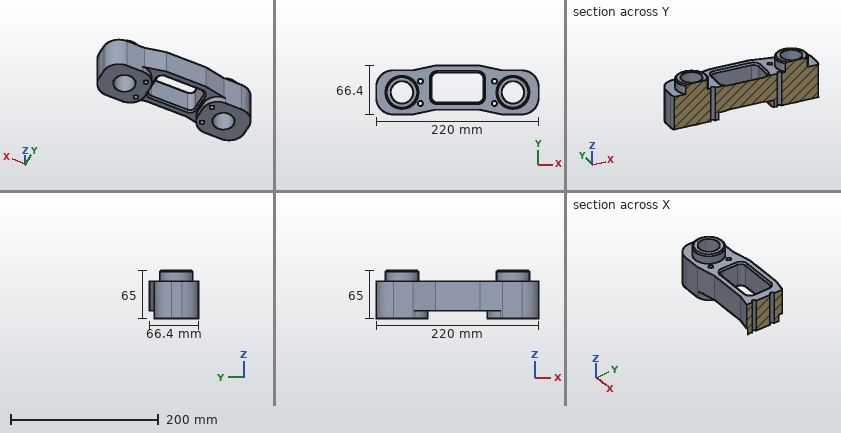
import cadquery as cq
import math

overall_length = 220.0
overall_width = 66.44
overall_height = 65.0

end_width = 60.0
corner_radius = 23.0
body_top = 50.5
bridge_offset = overall_width - end_width
bridge_half_length = 30.0
taper_angle = 12.0
taper_length = bridge_offset / math.tan(math.radians(taper_angle))

foot_height = 10.5
foot_length = 70.0
foot_inner_radius = 22.5

boss_spacing = 150.0
boss_diameter = 45.0
boss_chamfer = 2.0
bore_diameter = 30.0

bolt_hole_diameter = 6.5
bolt_spacing_x = 100.0
bolt_spacing_y = 30.0

window_length = 70.0
window_width = 40.0
window_corner_radius = 7.7
window_chamfer = 2.5
window_flare_angle = 45.0

half_length = overall_length / 2
half_width = end_width / 2
taper_end = bridge_half_length + taper_length
foot_inner = half_length - foot_length


def make_body():
    """Offset bridge with tapered sides between two end blocks with rounded corners."""
    lower = [
        (-half_length, -half_width),
        (-taper_end, -half_width),
        (-bridge_half_length, -half_width + bridge_offset),
        (bridge_half_length, -half_width + bridge_offset),
        (taper_end, -half_width),
        (half_length, -half_width),
    ]
    upper = [(x, y + end_width) for x, y in reversed(lower)]
    body = (
        cq.Workplane("XY", origin=(0, 0, foot_height))
        .polyline(lower + upper)
        .close()
        .extrude(body_top - foot_height)
    )
    return body.edges("|Z and (<X or >X)").fillet(corner_radius)


def make_foot():
    """Left foot; its -Y side follows the body taper before rounding into the inner face."""
    taper_rise = (taper_end - foot_inner) * math.tan(math.radians(taper_angle))
    outline = [
        (-half_length, -half_width),
        (-taper_end, -half_width),
        (-foot_inner, -half_width + taper_rise),
        (-foot_inner, half_width),
        (-half_length, half_width),
    ]
    foot = cq.Workplane("XY").polyline(outline).close().extrude(foot_height)
    foot = foot.edges("|Z and <X").fillet(corner_radius)
    return foot.edges("|Z and >X").fillet(foot_inner_radius)


def make_bosses():
    """Round bosses with a chamfered rim on top of both end blocks."""
    return (
        cq.Workplane("XY", origin=(0, 0, body_top))
        .rarray(boss_spacing, 1, 2, 1)
        .circle(boss_diameter / 2)
        .extrude(overall_height - body_top)
        .faces(">Z")
        .chamfer(boss_chamfer)
    )


def make_round_holes():
    """Cutters for the boss bores and the bolt holes, running the full height."""
    bores = (
        cq.Workplane("XY")
        .rarray(boss_spacing, 1, 2, 1)
        .circle(bore_diameter / 2)
        .extrude(overall_height)
    )
    bolt_holes = (
        cq.Workplane("XY")
        .rarray(bolt_spacing_x, bolt_spacing_y, 2, 2)
        .circle(bolt_hole_diameter / 2)
        .extrude(overall_height)
    )
    return bores.union(bolt_holes)


def make_window():
    """Cutter for the rounded window, flared outward at the top and bottom of the bridge."""
    outline = (
        cq.Sketch()
        .rect(window_length, window_width)
        .vertices()
        .fillet(window_corner_radius)
    )
    shaft = (
        cq.Workplane("XY", origin=(0, bridge_offset, 0))
        .placeSketch(outline)
        .extrude(body_top)
    )
    top_flare = (
        cq.Workplane("XY", origin=(0, bridge_offset, body_top - window_chamfer))
        .placeSketch(outline)
        .extrude(window_chamfer, taper=-window_flare_angle)
    )
    bridge_mid_height = (foot_height + body_top) / 2
    bottom_flare = top_flare.mirror("XY", (0, 0, bridge_mid_height))
    return shaft.union(top_flare).union(bottom_flare)


left_foot = make_foot()
right_foot = left_foot.mirror("YZ")

result = (
    make_body()
    .union(left_foot)
    .union(right_foot)
    .union(make_bosses())
    .cut(make_round_holes())
    .cut(make_window())
)